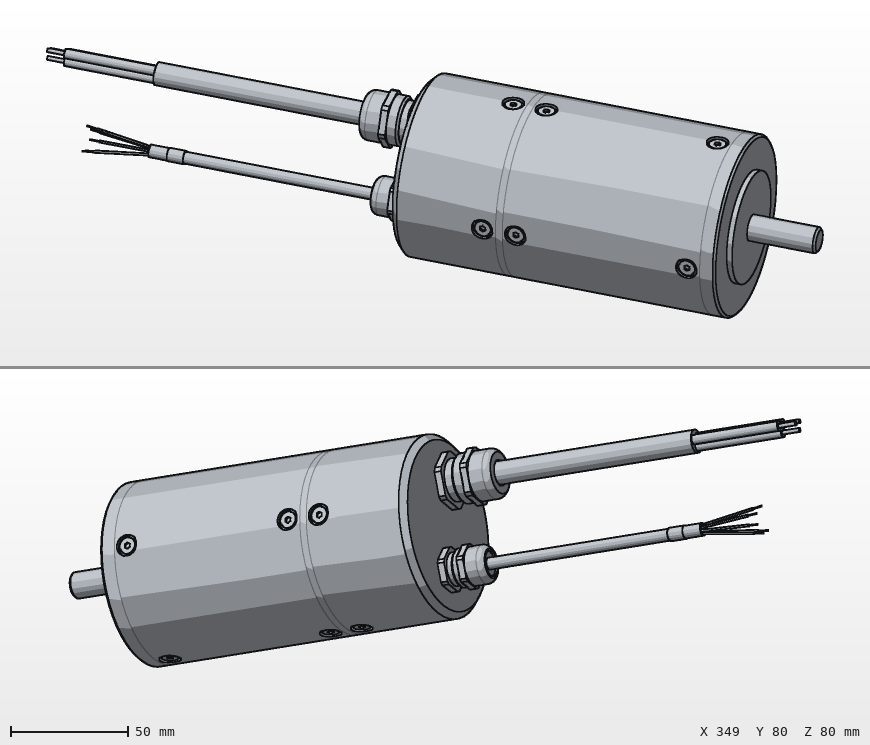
import cadquery as cq
import math


HOUSING_DIAMETER = 80.0
HOUSING_RADIUS = HOUSING_DIAMETER / 2
REAR_CAP_END = 47.5
JOINT_RING_END = 50.5
BODY_END = 140.0
HOUSING_END = 147.0
REAR_CHAMFER = 2.8
FRONT_CHAMFER = 1.0

PILOT_DIAMETER = 49.5
PILOT_END = 149.5
SHAFT_DIAMETER = 11.5
SHAFT_END = 180.0
SHAFT_CHAMFER = 1.0

SCREWS_PER_ROW = 4
SCREW_SEAM_DISTANCE = 6.0
SCREW_ROWS = (
    REAR_CAP_END - SCREW_SEAM_DISTANCE,
    JOINT_RING_END + SCREW_SEAM_DISTANCE,
    BODY_END - SCREW_SEAM_DISTANCE,
)
SCREW_HOLE_DIAMETER = 9.5
SCREW_HOLE_DEPTH = 1.7
SCREW_HEAD_DIAMETER = 7.5
SCREW_HEAD_HEIGHT = 1.0
SCREW_SOCKET_WIDTH = 2.5

POWER_GLAND_NOSE = -25.0
SIGNAL_GLAND_NOSE = -21.0
GLAND_OFFSET = HOUSING_RADIUS / 2
NOSE_OPENING_DIAMETER = 11.0
HEX_LENGTH = 3.0
HALF_HEX_STEP = 30
HEX_TURN = 7
HEX_WIDTH_RATIO = 1.03
HEX_CORNER_RATIO = 1.1
NOSE_ROUND_LENGTH = 3.0
NOSE_OPENING_DEPTH = 1.0
COLLAR_CHAMFER = 1.0

OVERALL_LENGTH = 349
POWER_CABLE_DIAMETER = 10.0
POWER_CABLE_END = -119.7
CONDUCTOR_COUNT = 3
CONDUCTOR_DIAMETER = 4.2
CONDUCTOR_CIRCLE_RADIUS = 2.27
CONDUCTOR_END = -161.0
STRAND_DIAMETER = 1.8
STRAND_END = SHAFT_END - OVERALL_LENGTH

SIGNAL_CABLE_DIAMETER = 5.2
SLEEVE_START = -107.0
SLEEVE_MIDDLE = -114.5
SLEEVE_END = -123.0
SLEEVE_DIAMETER = 6.0
SLEEVE_TAIL_DIAMETER = 5.5
LEAD_DIAMETER = 1.0
LEAD_END = -147.3
LEAD_STRAND_DIAMETER = 0.5
LEAD_STRAND_END = -151.8
LEAD_START_RADIUS = 1.7
LEAD_TIP_RADIUS = 6.0
LEAD_ANGLES = (11, -36, -96, -144, 80)

OVERLAP = 1.7


def rod(start, end, diameter, y=0, z=0):
    """Cylinder parallel to X."""
    length = end - start
    return cq.Workplane("YZ", origin=(start, y, z)).circle(diameter / 2).extrude(length)


def rod_between(start, end, diameter):
    """Cylinder between two points."""
    direction = cq.Vector(*end) - cq.Vector(*start)
    plane = cq.Plane(origin=start, normal=direction.toTuple())
    return cq.Workplane(plane).circle(diameter / 2).extrude(direction.Length)


def make_housing():
    rear_cap = rod(0, REAR_CAP_END, HOUSING_DIAMETER).faces("<X").chamfer(REAR_CHAMFER)
    joint_ring = rod(REAR_CAP_END, JOINT_RING_END, HOUSING_DIAMETER)
    body = rod(JOINT_RING_END, BODY_END, HOUSING_DIAMETER)
    flange = rod(BODY_END, HOUSING_END, HOUSING_DIAMETER).faces(">X").chamfer(FRONT_CHAMFER)
    pilot = rod(HOUSING_END, PILOT_END, PILOT_DIAMETER)
    shaft = rod(PILOT_END, SHAFT_END, SHAFT_DIAMETER).faces(">X").chamfer(SHAFT_CHAMFER)
    housing = rear_cap
    for section in (joint_ring, body, flange, pilot, shaft):
        housing = housing.union(section, clean=False)
    return housing


def make_screw_recess(x):
    """Ring-shaped gap around a screw head and the space above it, on the +Z side."""
    floor = HOUSING_RADIUS - SCREW_HOLE_DEPTH
    plane = cq.Workplane("XY", origin=(x, 0, floor))
    hole = plane.circle(SCREW_HOLE_DIAMETER / 2).extrude(2 * SCREW_HOLE_DEPTH)
    head = plane.circle(SCREW_HEAD_DIAMETER / 2).extrude(SCREW_HEAD_HEIGHT)
    socket = plane.polygon(6, SCREW_SOCKET_WIDTH, circumscribed=True).extrude(SCREW_HEAD_HEIGHT)
    return hole.cut(head.cut(socket))


def cut_screw_recesses(housing):
    for x in SCREW_ROWS:
        recess = make_screw_recess(x)
        for i in range(SCREWS_PER_ROW):
            turned = recess.rotate((0, 0, 0), (1, 0, 0), i * 360 / SCREWS_PER_ROW)
            housing = housing.cut(turned, clean=False)
    return housing


def hex_bar(start, end, width, turn):
    """Hexagonal bar along X, turned about X by an angle in degrees."""
    bar = (
        cq.Workplane("YZ", origin=(start, 0, 0))
        .polygon(6, width / math.cos(math.pi / 6))
        .extrude(end - start)
    )
    return bar.rotate((0, 0, 0), (1, 0, 0), turn)


def make_gland_hex(start, end, width):
    """Hexagon with its six corners cut flat."""
    hexagon = hex_bar(start, end, width, HEX_TURN)
    corner_cut = hex_bar(start, end, HEX_CORNER_RATIO * width, HEX_TURN + HALF_HEX_STEP)
    return hexagon.intersect(corner_cut)


def make_gland(z, diameter, nose_x, nose_diameter, hex_start, collar_end, neck_diameter):
    """Cable gland on the rear face: nose, hexagon, collar, neck and base nut."""
    radius = diameter / 2
    neck_radius = neck_diameter / 2
    opening_radius = NOSE_OPENING_DIAMETER / 2
    opening_floor = nose_x + NOSE_OPENING_DEPTH
    body = (
        cq.Workplane("XY")
        .moveTo(OVERLAP, 0)
        .lineTo(OVERLAP, neck_radius)
        .lineTo(collar_end, neck_radius)
        .lineTo(collar_end, radius - COLLAR_CHAMFER)
        .lineTo(collar_end - COLLAR_CHAMFER, radius)
        .lineTo(nose_x + NOSE_ROUND_LENGTH, radius)
        .tangentArcPoint((nose_x, nose_diameter / 2), relative=False)
        .lineTo(nose_x, opening_radius)
        .lineTo(opening_floor, opening_radius)
        .lineTo(opening_floor, 0)
        .close()
        .revolve(360, (0, 0, 0), (1, 0, 0))
    )
    hex_width = HEX_WIDTH_RATIO * diameter
    grip = make_gland_hex(hex_start, hex_start + HEX_LENGTH, hex_width)
    base_nut = make_gland_hex(-HEX_LENGTH, OVERLAP, hex_width)
    return body.union(grip).union(base_nut).translate((0, 0, z))


def make_power_cable(z):
    cable = rod(POWER_CABLE_END, POWER_GLAND_NOSE + OVERLAP, POWER_CABLE_DIAMETER, z=z)
    for i in range(CONDUCTOR_COUNT):
        angle = i * 2 * math.pi / CONDUCTOR_COUNT
        wire_y = CONDUCTOR_CIRCLE_RADIUS * math.cos(angle)
        wire_z = z + CONDUCTOR_CIRCLE_RADIUS * math.sin(angle)
        conductor = rod(CONDUCTOR_END, POWER_CABLE_END + OVERLAP, CONDUCTOR_DIAMETER, wire_y, wire_z)
        strand = rod(STRAND_END, CONDUCTOR_END + OVERLAP, STRAND_DIAMETER, wire_y, wire_z)
        cable = cable.union(conductor).union(strand)
    return cable


def make_lead(z, angle):
    """Thin lead that spreads outward from the sleeve, with its bare end."""

    def point(x):
        share = (SLEEVE_END - x) / (SLEEVE_END - LEAD_STRAND_END)
        r = LEAD_START_RADIUS + share * (LEAD_TIP_RADIUS - LEAD_START_RADIUS)
        return (x, r * math.cos(angle), z + r * math.sin(angle))

    root = point(SLEEVE_END + OVERLAP)
    insulated = rod_between(root, point(LEAD_END), LEAD_DIAMETER)
    return insulated.union(rod_between(root, point(LEAD_STRAND_END), LEAD_STRAND_DIAMETER))


def make_signal_cable(z):
    cable = rod(SLEEVE_START, SIGNAL_GLAND_NOSE + OVERLAP, SIGNAL_CABLE_DIAMETER, z=z)
    cable = cable.union(rod(SLEEVE_MIDDLE, SLEEVE_START, SLEEVE_DIAMETER, z=z))
    cable = cable.union(rod(SLEEVE_END, SLEEVE_MIDDLE, SLEEVE_TAIL_DIAMETER, z=z))
    for angle in LEAD_ANGLES:
        cable = cable.union(make_lead(z, math.radians(angle)))
    return cable


power_gland = make_gland(
    z=GLAND_OFFSET,
    diameter=22.0,
    nose_x=POWER_GLAND_NOSE,
    nose_diameter=18.0,
    hex_start=-15.5,
    collar_end=-7.0,
    neck_diameter=19.0,
)
signal_gland = make_gland(
    z=-GLAND_OFFSET,
    diameter=17.0,
    nose_x=SIGNAL_GLAND_NOSE,
    nose_diameter=13.0,
    hex_start=-12.2,
    collar_end=-5.5,
    neck_diameter=14.5,
)
power_cable = make_power_cable(GLAND_OFFSET)
signal_cable = make_signal_cable(-GLAND_OFFSET)

result = cut_screw_recesses(make_housing())
for piece in (power_gland, signal_gland, power_cable, signal_cable):
    result = result.union(piece, clean=False)